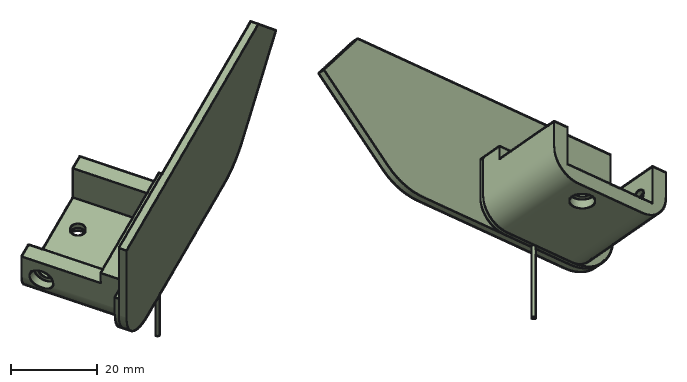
import cadquery as cq


holder_depth = 26.0
contact_thickness = 1.0
plate_thickness = 2.0

plate_length = 85.5
plate_height = 36.0
end_radius = 12.05
tip_height = 22.9
tip_setback = 10.1
slope_run = 23.5
slope_radius = 14.95

holder_start = 5.5
holder_width = 33.3
holder_height = 17.95
holder_radius = 7.2
wall = 4.0
back_wall = 6.0
side_drop = 3.6

hole_diameter = 3.6
counterbore_diameter = 6.0
counterbore_depth = 2.5
hole_setback = 5.0
side_hole_height = 8.5
floor_hole_y = holder_start + 20.85

lead_diameter = contact_thickness
lead_length = 20.0
lead_y = 23.3

holder_end = holder_start + holder_width
plate_front = holder_depth + contact_thickness


def make_plate():
    """Flat plate with a pointed far end and rounded bottom corners."""
    outline = [
        (0, 0),
        (plate_length - slope_run, 0),
        (plate_length, tip_height),
        (plate_length - tip_setback, plate_height),
        (0, plate_height),
    ]
    plate = (
        cq.Workplane("YZ", origin=(plate_front, 0, 0))
        .polyline(outline)
        .close()
        .extrude(plate_thickness)
    )
    plate = plate.edges("|X and <Y and <Z").fillet(end_radius)
    slope_corner = cq.selectors.NearestToPointSelector(
        (plate_front + plate_thickness / 2, plate_length - slope_run, 0)
    )
    return plate.edges("|X").edges(slope_corner).fillet(slope_radius)


def make_contact():
    """Thin contact sheet between holder and plate, with its round lead below."""
    sheet = cq.Workplane("XY").box(
        contact_thickness, holder_end, holder_height, centered=False
    ).translate((holder_depth, 0, 0))
    sheet = sheet.edges("|X and <Y and <Z").fillet(end_radius)
    sheet = sheet.edges("|X and >Y and <Z").fillet(holder_radius)
    lead = (
        cq.Workplane("XY", origin=(holder_depth + contact_thickness / 2, lead_y, 0))
        .circle(lead_diameter / 2)
        .extrude(-lead_length)
    )
    return sheet.union(lead)


def counterbored_cutter(plane, direction):
    """Hole through one wall with its counterbore on the outer face.

    direction is +1 or -1 along the plane normal.
    """
    hole = plane.circle(hole_diameter / 2).extrude(direction * wall)
    counterbore = plane.circle(counterbore_diameter / 2).extrude(direction * counterbore_depth)
    return hole.union(counterbore)


def make_holder():
    """Open tray with lowered side walls, a tall back wall and two holes."""
    holder = cq.Workplane("XY").box(
        holder_depth, holder_width, holder_height, centered=False
    ).translate((0, holder_start, 0))
    holder = holder.edges("|X and <Z").fillet(holder_radius)

    pocket_depth = holder_depth - back_wall
    pocket = cq.Workplane("XY").box(
        pocket_depth, holder_width - 2 * wall, holder_height, centered=False
    ).translate((0, holder_start + wall, wall))

    step = cq.Workplane("XY").box(
        pocket_depth, holder_width, side_drop, centered=False
    ).translate((0, holder_start, holder_height - side_drop))

    floor_plane = cq.Workplane("XY", origin=(hole_setback, floor_hole_y, 0))
    floor_hole = counterbored_cutter(floor_plane, 1)
    side_plane = cq.Workplane("XZ", origin=(hole_setback, holder_start, side_hole_height))
    side_hole = counterbored_cutter(side_plane, -1)

    return holder.cut(pocket).cut(step).cut(floor_hole).cut(side_hole)


plate = make_plate()
contact = make_contact()
holder = make_holder()

result = cq.Compound.makeCompound([plate.solids().val(), contact.solids().val(), holder.solids().val()])